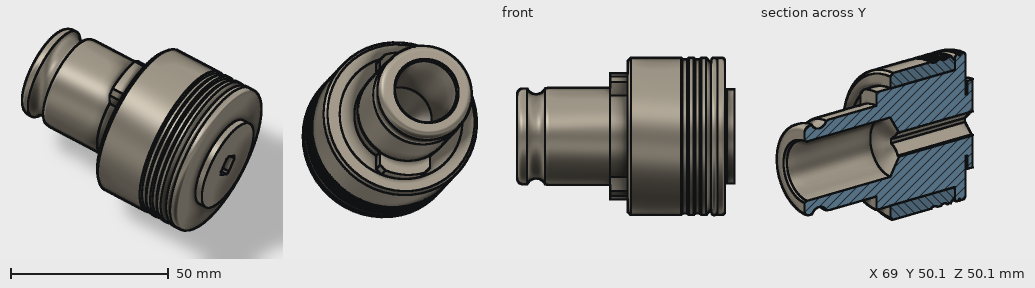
import cadquery as cq
import math


length = 69
shaft_start = 10.1
lug_start = 29.5
sleeve_start = 35.1
sleeve_end = 61.6
flange_start = 63.55
flange_end = 66.0
disc_start = 66.6

rim_diameter = 30.5
shaft_diameter = 31.0
core_diameter = 40
flange_diameter = 50.0
disc_neck_diameter = 21.0
disc_diameter = 30.0

nose_round = 2.0
ball_groove_radius = 3.2
ball_groove_bottom = 26.85
ball_groove_x = 6.1
bead_outer_diameter = 50.1
flange_round = 1.2

bore_diameter = 20
bore_mouth_diameter = 21.0
mouth_chamfer_length = 1.05
bore_depth = sleeve_start
drill_point_angle = 118
square_width = 6.55
square_corner_diameter = 8.0

lug_diameter = 40.1
lug_width = 16.2
lug_chamfer = 2.75

sleeve_diameter = 50.0
sleeve_chamfer = 1.05
groove_count = 2
groove_start = 51.95
groove_pitch = 4.0
groove_width = 2.6
groove_ramp = 0.6
groove_bottom_diameter = 49
sleeve_tip_diameter = 46.5
tip_chamfer_start = 59.95


def turned(outline):
    """Solid of revolution about X from a closed outline in X and radius."""
    return outline.close().revolve(360, (0, 0, 0), (1, 0, 0))


def add_ball_groove(outline):
    """Nose round, straight rim and concave groove, up to the start of the shaft."""
    rim_radius = rim_diameter / 2
    slant = math.sqrt(0.5)
    centre_radius = ball_groove_bottom / 2 + ball_groove_radius
    half_width = math.sqrt(ball_groove_radius**2 - (centre_radius - rim_radius) ** 2)
    return (
        outline.lineTo(0, rim_radius - nose_round)
        .threePointArc(
            (nose_round * (1 - slant), rim_radius - nose_round * (1 - slant)),
            (nose_round, rim_radius),
        )
        .lineTo(ball_groove_x - half_width, rim_radius)
        .threePointArc(
            (ball_groove_x, ball_groove_bottom / 2),
            (ball_groove_x + half_width, rim_radius),
        )
        .lineTo(shaft_start, shaft_diameter / 2)
    )


def add_end_flange(outline):
    """Flange with a half-round bead on its left edge and a rounded right edge."""
    radius = flange_diameter / 2
    slant = math.sqrt(0.5)
    bead_radius = (flange_start - sleeve_end) / 2
    bead_crest = bead_outer_diameter / 2
    bead_centre = bead_crest - bead_radius
    return (
        outline.lineTo(sleeve_end, bead_centre)
        .threePointArc(
            (sleeve_end + bead_radius, bead_crest),
            (flange_start, bead_centre),
        )
        .lineTo(flange_start, radius)
        .lineTo(flange_end - flange_round, radius)
        .threePointArc(
            (flange_end - flange_round * (1 - slant), radius - flange_round * (1 - slant)),
            (flange_end, radius - flange_round),
        )
    )


def make_core_blank():
    """Solid core: nose, shaft, neck, inner cylinder, flange and end disc."""
    outline = add_ball_groove(cq.Workplane("XY").moveTo(0, 0))
    outline = (
        outline.lineTo(lug_start, shaft_diameter / 2)
        .lineTo(lug_start, rim_diameter / 2)
        .lineTo(sleeve_start, rim_diameter / 2)
        .lineTo(sleeve_start, core_diameter / 2)
        .lineTo(sleeve_end, core_diameter / 2)
    )
    outline = (
        add_end_flange(outline)
        .lineTo(flange_end, disc_neck_diameter / 2)
        .lineTo(disc_start, disc_neck_diameter / 2)
        .lineTo(disc_start, disc_diameter / 2)
        .lineTo(length, disc_diameter / 2)
        .lineTo(length, 0)
    )
    return turned(outline)


def make_lugs():
    """Two opposite driving lugs, as one chamfered bar rounded to the lug diameter."""
    lug_length = sleeve_start - lug_start
    bar = (
        cq.Workplane("YZ", origin=(lug_start, 0, 0))
        .rect(lug_width, lug_diameter)
        .extrude(lug_length)
        .edges("|X")
        .chamfer(lug_chamfer)
    )
    crown = cq.Workplane("YZ", origin=(lug_start, 0, 0)).circle(lug_diameter / 2).extrude(lug_length)
    return bar.intersect(crown)


def make_bore():
    """Drilled bore with a chamfered mouth and a conical bottom."""
    radius = bore_diameter / 2
    mouth_radius = bore_mouth_diameter / 2
    point_length = radius / math.tan(math.radians(drill_point_angle / 2))
    return turned(
        cq.Workplane("XY")
        .moveTo(0, 0)
        .lineTo(0, mouth_radius)
        .lineTo(mouth_chamfer_length, radius)
        .lineTo(bore_depth, radius)
        .lineTo(bore_depth + point_length, 0)
    )


def make_square_drive():
    """Through square standing on its corner, with the corners rounded to a circle."""
    start = cq.Workplane("YZ", origin=(bore_depth, 0, 0))
    square = start.transformed(rotate=(0, 0, 45)).rect(square_width, square_width).extrude(length)
    corner_circle = start.circle(square_corner_diameter / 2).extrude(length)
    return square.intersect(corner_circle)


def make_core():
    return make_core_blank().union(make_lugs()).cut(make_bore()).cut(make_square_drive())


def make_sleeve():
    """Ring around the core with two shallow slope-sided grooves and a tapered tip."""
    radius = sleeve_diameter / 2
    bottom_radius = groove_bottom_diameter / 2
    outline = (
        cq.Workplane("XY")
        .moveTo(sleeve_start, core_diameter / 2)
        .lineTo(sleeve_start, radius - sleeve_chamfer)
        .lineTo(sleeve_start + sleeve_chamfer, radius)
    )
    for index in range(groove_count):
        start = groove_start + index * groove_pitch
        end = start + groove_width
        outline = (
            outline.lineTo(start, radius)
            .lineTo(start + groove_ramp, bottom_radius)
            .lineTo(end - groove_ramp, bottom_radius)
            .lineTo(end, radius)
        )
    outline = (
        outline.lineTo(tip_chamfer_start, radius)
        .lineTo(sleeve_end, sleeve_tip_diameter / 2)
        .lineTo(sleeve_end, core_diameter / 2)
    )
    return turned(outline)


core = make_core()
sleeve = make_sleeve()

result = cq.Compound.makeCompound([core.val(), sleeve.val()])